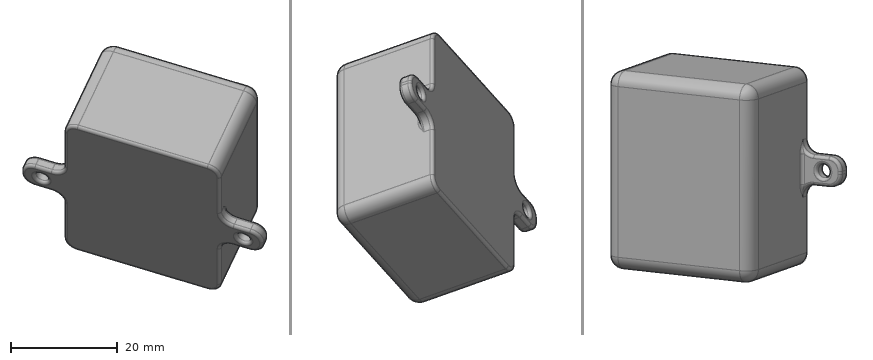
import cadquery as cq

overall_width = 48.35
body_width = 31.32
body_depth = 21.8
body_height = 37.9
corner_radius = 2.6
edge_radius = 0.65

ear_height = 5.8
ear_thickness = 2.6
hole_diameter = 2.6
hole_spacing = 40.5

half_body = body_width / 2
half_ear = ear_height / 2
selection_margin = 0.005


def block(width, depth, height):
    """Block centred on X and Z, with its front face on y = 0."""
    return cq.Workplane("XY").box(width, depth, height, centered=(True, False, True))


def make_body():
    """Box with rounded outline corners and a rounded back."""
    body = block(body_width, body_depth, body_height)
    return body.edges("|Y").fillet(corner_radius).faces(">Y").edges().fillet(corner_radius)


def make_ear_strip():
    """Flat strip forming both ears, flared where it meets the body sides."""
    strip = block(overall_width, ear_thickness, ear_height).edges("|Y").fillet(corner_radius)
    root_height = ear_height + 2 * corner_radius
    root = block(body_width + 2 * corner_radius, ear_thickness, root_height)
    for x in (-1, 1):
        for z in (-1, 1):
            cutter = (
                cq.Workplane("XZ")
                .center(x * (half_body + corner_radius), z * (half_ear + corner_radius))
                .circle(corner_radius)
                .extrude(-ear_thickness)
            )
            root = root.cut(cutter)
    strip = strip.union(root)
    return strip.faces(">Y").edges().fillet(edge_radius)


def fillet_ear_seams(part):
    """Blend the back of each ear into the side wall of the box."""
    for x in (-half_body, half_body):
        seam_box = cq.selectors.BoxSelector(
            (x - selection_margin, ear_thickness - selection_margin, -half_ear),
            (x + selection_margin, ear_thickness + selection_margin, half_ear),
        )
        part = part.edges(seam_box).fillet(edge_radius)
    return part


def cut_screw_holes(part):
    """Through hole in each ear, with its back rim rounded."""
    for x in (-hole_spacing / 2, hole_spacing / 2):
        hole = cq.Workplane("XZ").center(x, 0).circle(hole_diameter / 2).extrude(-ear_thickness)
        part = part.cut(hole)
    back_rims = part.edges("%CIRCLE").edges(
        cq.selectors.BoxSelector(
            (-overall_width, ear_thickness - selection_margin, -selection_margin),
            (overall_width, ear_thickness + selection_margin, selection_margin),
        )
    )
    return back_rims.fillet(edge_radius)


result = make_body().union(make_ear_strip())
result = fillet_ear_seams(result)
result = cut_screw_holes(result)

result = result.faces("<Y").edges().fillet(edge_radius)